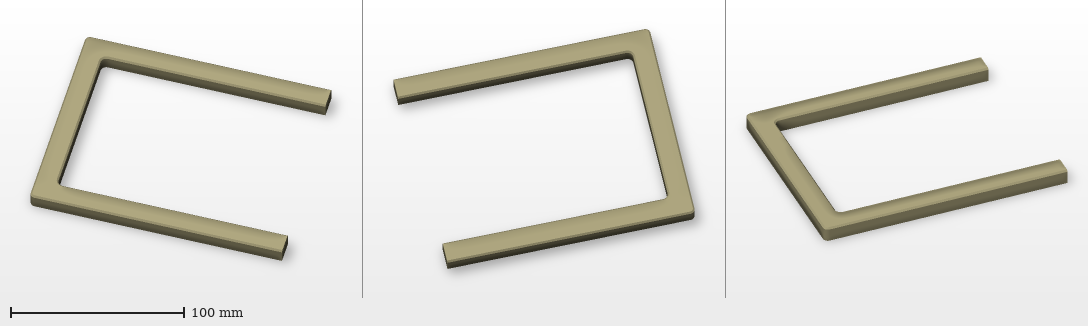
import cadquery as cq

length = 151.5
width = 122.2
thickness = 9.0

base_bar_width = 13.0
arm_width = 12.7
short_arm_setback = 4.5
outer_corner_radius = 3.0
inner_corner_radius = 3.5
edge_chamfer = 1.0

short_arm_length = length - short_arm_setback
half_width = width / 2
inner_half_width = half_width - arm_width

outline = [
    (0, -half_width),
    (length, -half_width),
    (length, -inner_half_width),
    (base_bar_width, -inner_half_width),
    (base_bar_width, inner_half_width),
    (short_arm_length, inner_half_width),
    (short_arm_length, half_width),
    (0, half_width),
]
frame = cq.Workplane("XY").polyline(outline).close().extrude(thickness)


def round_corner_pair(body, x, half_spacing, radius):
    """Round the two upright edges at (x, +half_spacing) and (x, -half_spacing)."""
    for y in (-half_spacing, half_spacing):
        corner = cq.selectors.NearestToPointSelector((x, y, thickness / 2))
        body = body.edges("|Z").edges(corner).fillet(radius)
    return body


frame = round_corner_pair(frame, 0, half_width, outer_corner_radius)
frame = round_corner_pair(frame, base_bar_width, inner_half_width, inner_corner_radius)

rim_box = cq.selectors.BoxSelector(
    (-length, -width, 0),
    (short_arm_length - base_bar_width, width, 2 * thickness),
)
result = frame.faces(">Z").edges(rim_box).chamfer(edge_chamfer)